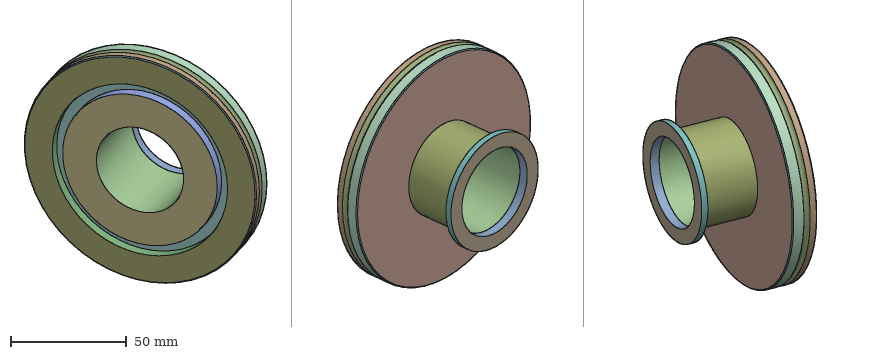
import cadquery as cq
import math


overall_length = 42.0

flange_diameter = 110.0
flange_thickness = 12.0
flange_chamfer = 0.5

rim_groove_center = 5.0
rim_groove_width = 3.0
rim_groove_depth = 1.25

recess_outer_diameter = 83.0
recess_inner_diameter = 73.2
recess_depth = 4.6

tube_outer_diameter = 44.5
bore_diameter = 41.3
small_flange_bore_diameter = 41.2

small_flange_diameter = 55.0
small_flange_rim = 3.0
shoulder_angle = 15.0


def make_body():
    """Revolve the half profile of radius against axial position about the Y axis."""
    bore_radius = bore_diameter / 2
    small_bore_radius = small_flange_bore_diameter / 2
    tube_radius = tube_outer_diameter / 2
    flange_radius = flange_diameter / 2
    chamfered_radius = flange_radius - flange_chamfer
    small_radius = small_flange_diameter / 2

    groove_start = rim_groove_center - rim_groove_width / 2
    groove_end = rim_groove_center + rim_groove_width / 2
    groove_bottom_radius = flange_radius - rim_groove_depth

    rim_start = overall_length - small_flange_rim
    shoulder_length = (small_radius - tube_radius) * math.tan(math.radians(shoulder_angle))
    tube_end = rim_start - shoulder_length

    profile = (
        cq.Workplane("XY")
        .moveTo(bore_radius, 0)
        .lineTo(chamfered_radius, 0)
        .lineTo(flange_radius, flange_chamfer)
        .lineTo(flange_radius, groove_start)
        .threePointArc((groove_bottom_radius, rim_groove_center), (flange_radius, groove_end))
        .lineTo(flange_radius, flange_thickness - flange_chamfer)
        .lineTo(chamfered_radius, flange_thickness)
        .lineTo(tube_radius, flange_thickness)
        .lineTo(tube_radius, tube_end)
        .lineTo(small_radius, rim_start)
        .lineTo(small_radius, overall_length)
        .lineTo(small_bore_radius, overall_length)
        .lineTo(small_bore_radius, tube_end)
        .lineTo(bore_radius, tube_end)
        .close()
    )
    return profile.revolve(360, (0, 0, 0), (0, 1, 0))


def make_face_recess():
    """Ring removed from the sealing face, leaving a flush island around the bore."""
    return (
        cq.Workplane("XZ")
        .circle(recess_outer_diameter / 2)
        .circle(recess_inner_diameter / 2)
        .extrude(-recess_depth)
    )


result = make_body().cut(make_face_recess())